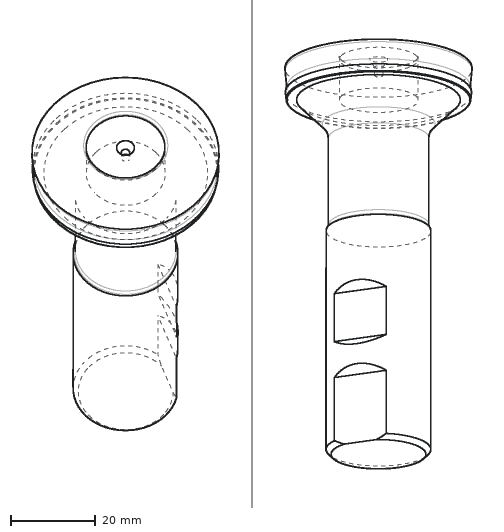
import cadquery as cq
import math


shank_radius = 12.5
shank_length = 56.0
end_chamfer = 1.2
neck_radius = 12.0
step_angle = math.radians(30)
step_fillet = 2.0

flat_offset = 10.5
flat_depth = shank_radius - flat_offset
end_flat_length = 17.0
notch_centre_height = 32.0
notch_floor_length = 12.0

flare_angle = math.radians(45)
flare_radius = 19.5
flare_fillet = 5.0

disc_top = 100.0
disc_bottom = 88.7
rake_angle = math.radians(15)
rim_radius = 22.285
rim_land = 0.6
waist_radius = 21.9
waist_height = 92.0
lower_rim_radius = 22.2
lower_rim_height = 90.5
base_radius = 22.0
base_chamfer = 0.2

bore_radius = 9.4
lip_radius = 0.5
pilot_recess = 1.1
pilot_top = disc_top - pilot_recess

centre_radius = 2.125
centre_pilot_radius = 1.0
centre_cone_angle = math.radians(60)
centre_depth = 4.0
centre_tip_angle = math.radians(120)


def cone_height(radial_width, included_angle):
    """Height of a cone of the given radial width and included angle."""
    return radial_width / math.tan(included_angle / 2)


def blend_to_neck(fillet, angle):
    """Radius and rise of the arc that turns from the neck to a slope at `angle` from the axis."""
    return neck_radius + fillet * (1 - math.cos(angle)), fillet * math.sin(angle)


def arc_middle(fillet, angle, neck_height, direction):
    """Middle of that arc, which leaves the neck at `neck_height` going up (1) or down (-1)."""
    radius, rise = blend_to_neck(fillet, angle / 2)
    return radius, neck_height + direction * rise


def revolve_profile(profile):
    """Turn a closed radius-height profile, drawn in the YZ plane, about the Z axis."""
    return profile.close().revolve(360, (0, 0, 0), (0, 1, 0))


def make_turned_shank():
    step_radius, step_rise = blend_to_neck(step_fillet, step_angle)
    step_height = shank_length + (shank_radius - step_radius) / math.tan(step_angle)
    neck_bottom = step_height + step_rise

    blend_radius, blend_rise = blend_to_neck(flare_fillet, flare_angle)
    blend_height = disc_bottom - (flare_radius - blend_radius) / math.tan(flare_angle)
    neck_top = blend_height - blend_rise

    profile = (
        cq.Workplane("YZ")
        .lineTo(shank_radius - end_chamfer, 0)
        .lineTo(shank_radius, end_chamfer)
        .lineTo(shank_radius, shank_length)
        .lineTo(step_radius, step_height)
        .threePointArc(arc_middle(step_fillet, step_angle, neck_bottom, -1), (neck_radius, neck_bottom))
        .lineTo(neck_radius, neck_top)
        .threePointArc(arc_middle(flare_fillet, flare_angle, neck_top, 1), (blend_radius, blend_height))
        .lineTo(flare_radius, disc_bottom)
        .lineTo(bore_radius, disc_bottom)
        .lineTo(bore_radius, pilot_top)
        .lineTo(0, pilot_top)
    )
    return revolve_profile(profile)


def flat_cutter(floor_bottom, floor_top, bottom_flare):
    """Cutter for a flat: the top end slopes out at 45 degrees, the bottom end by `bottom_flare`."""
    return (
        cq.Workplane("YZ")
        .moveTo(flat_offset, floor_bottom)
        .lineTo(flat_offset, floor_top)
        .lineTo(shank_radius, floor_top + flat_depth)
        .lineTo(shank_radius, floor_bottom - bottom_flare)
        .close()
        .extrude(shank_radius, both=True)
    )


def centre_hole_cutter():
    cone_depth = cone_height(centre_radius - centre_pilot_radius, centre_cone_angle)
    tip_depth = centre_depth + cone_height(centre_pilot_radius, centre_tip_angle)
    profile = (
        cq.Workplane("YZ")
        .moveTo(0, pilot_top)
        .lineTo(centre_radius, pilot_top)
        .lineTo(centre_pilot_radius, pilot_top - cone_depth)
        .lineTo(centre_pilot_radius, pilot_top - centre_depth)
        .lineTo(0, pilot_top - tip_depth)
    )
    return revolve_profile(profile)


def make_shank():
    notch_bottom = notch_centre_height - notch_floor_length / 2
    return (
        make_turned_shank()
        .cut(flat_cutter(0, end_flat_length, 0))
        .cut(flat_cutter(notch_bottom, notch_bottom + notch_floor_length, flat_depth))
        .cut(centre_hole_cutter())
    )


def make_disc():
    lip_centre = bore_radius + lip_radius
    lip_height = disc_top - lip_radius
    rake_start = lip_centre + lip_radius * math.sin(rake_angle)
    rake_start_height = lip_height + lip_radius * math.cos(rake_angle)
    rim_height = rake_start_height - (rim_radius - rake_start) * math.tan(rake_angle)

    profile = (
        cq.Workplane("YZ")
        .moveTo(bore_radius, disc_bottom)
        .lineTo(base_radius - base_chamfer, disc_bottom)
        .lineTo(base_radius, disc_bottom + base_chamfer)
        .lineTo(lower_rim_radius, lower_rim_height)
        .lineTo(waist_radius, waist_height)
        .lineTo(rim_radius, rim_height - rim_land)
        .lineTo(rim_radius, rim_height)
        .lineTo(rake_start, rake_start_height)
        .threePointArc((lip_centre, disc_top), (bore_radius, lip_height))
    )
    return revolve_profile(profile)


shank = make_shank()
disc = make_disc()

result = cq.Compound.makeCompound([shank.val(), disc.val()])